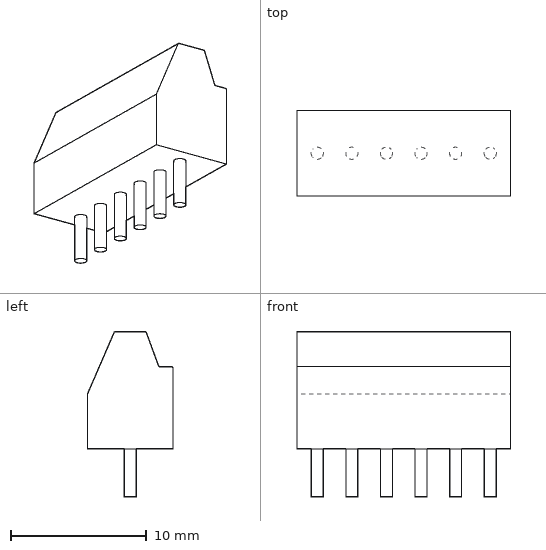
import cadquery as cq

length = 15.72
depth = 6.3
total_height = 12.15
pin_length = 3.52
body_height = total_height - pin_length

back_slope_run = 1.98
back_slope_drop = 4.57
top_width = 2.35
step_width = 1.04
step_drop = 2.58
edge_radius = 0.1

pin_count = 6
pin_pitch = 2.55
pin_diameter = 0.9

front_y = -depth / 2
back_y = depth / 2
top_back_y = back_y - back_slope_run
top_front_y = top_back_y - top_width
step_inner_y = front_y + step_width
step_z = body_height - step_drop

rounded_corners = [
    (top_back_y, body_height),
    (top_front_y, body_height),
    (step_inner_y, step_z),
    (front_y, step_z),
]


def make_housing():
    """Extrude the side profile along X and round its upper edges."""
    profile = [
        (front_y, 0),
        (back_y, 0),
        (back_y, body_height - back_slope_drop),
    ] + rounded_corners
    housing = cq.Workplane("YZ").polyline(profile).close().extrude(length / 2, both=True)
    for y, z in rounded_corners:
        nearest_edge = cq.selectors.NearestToPointSelector((0, y, z))
        housing = housing.edges("|X").edges(nearest_edge).fillet(edge_radius)
    return housing


def make_pins():
    """One row of round pins hanging below the housing."""
    return (
        cq.Workplane("XY")
        .rarray(pin_pitch, 0.15, pin_count, 1)
        .circle(pin_diameter / 2)
        .extrude(-pin_length)
    )


result = make_housing().union(make_pins())